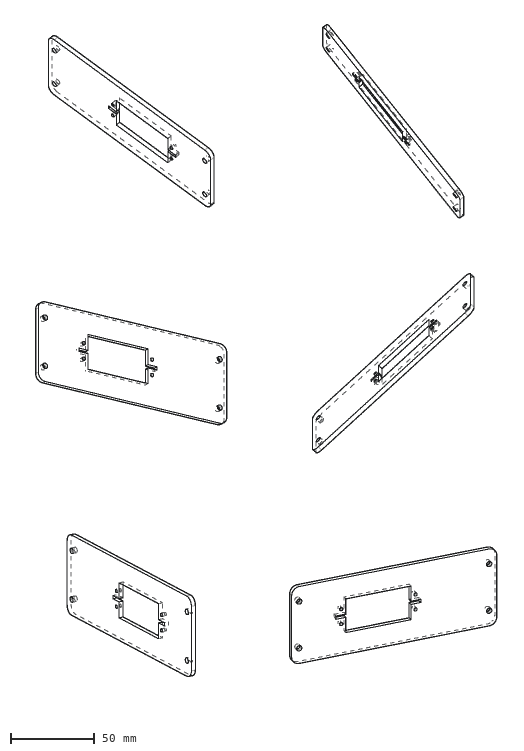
import cadquery as cq

plate_length = 134.0
plate_height = 51.0
plate_thickness = 3.0
corner_radius = 5.0

mount_spacing_x = plate_length - 2 * corner_radius
mount_spacing_z = 31.0
mount_hole_diameter = 3.4

window_center_x = 10.3
window_length = 42.5
window_height = 22.2
slot_length = 55.3
slot_height = 2.0

screw_spacing_x = 48.5
screw_spacing_z = 9.9
screw_hole_diameter = 2.0


def through_box(length, height, center_x=0.0):
    """Block as deep as the plate, lying on the plate's mid-height line."""
    return cq.Workplane("XY").box(length, plate_thickness, height).translate((center_x, 0, 0))


def hole_pattern(spacing_x, spacing_z, diameter, center_x=0.0):
    """Four cylinders through the plate at the corners of a rectangle."""
    return (
        cq.Workplane("XZ")
        .center(center_x, 0)
        .rect(spacing_x, spacing_z, forConstruction=True)
        .vertices()
        .circle(diameter / 2)
        .extrude(plate_thickness, both=True)
    )


plate = through_box(plate_length, plate_height).edges("|Y").fillet(corner_radius)

window = through_box(window_length, window_height, window_center_x)
slot = through_box(slot_length, slot_height, window_center_x)
mount_holes = hole_pattern(mount_spacing_x, mount_spacing_z, mount_hole_diameter)
screw_holes = hole_pattern(screw_spacing_x, screw_spacing_z, screw_hole_diameter, window_center_x)

result = plate.cut(window).cut(slot).cut(mount_holes).cut(screw_holes)